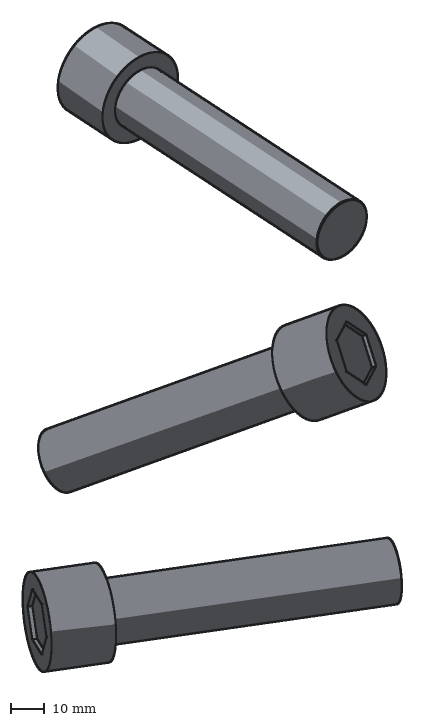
import cadquery as cq
import math

head_diameter = 30.0
head_length = 20.0
shank_diameter = 20.0
shank_length = 90.0
tip_chamfer = 0.2
socket_across_flats = 17.0
socket_depth = 1.5

socket_across_corners = socket_across_flats / math.cos(math.radians(30))


def make_head():
    return cq.Workplane("YZ").circle(head_diameter / 2).extrude(-head_length)


def make_shank():
    shank = cq.Workplane("YZ").circle(shank_diameter / 2).extrude(shank_length)
    return shank.faces(">X").chamfer(tip_chamfer)


def make_socket():
    """Hexagonal key recess with two of its corners on the Y direction."""
    return (
        cq.Workplane("YZ", origin=(-head_length, 0, 0))
        .polygon(6, socket_across_corners)
        .extrude(socket_depth)
    )


result = make_head().union(make_shank()).cut(make_socket())